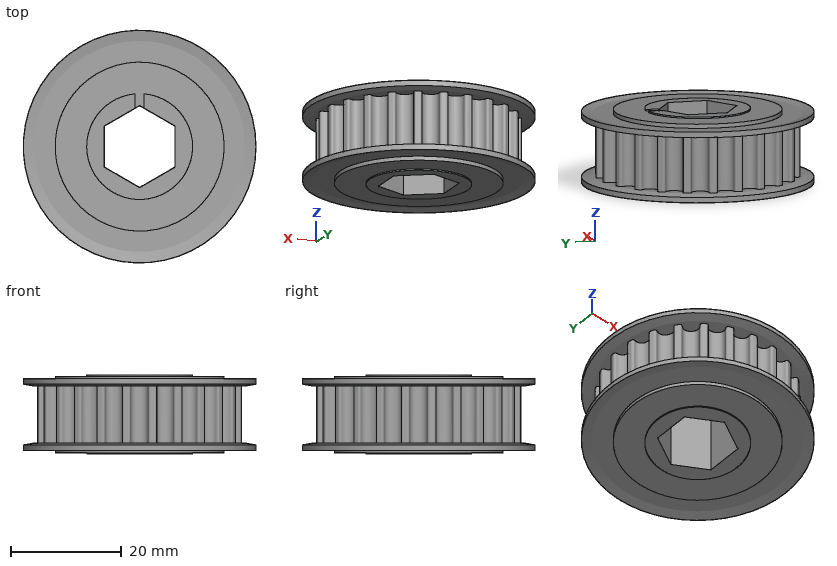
import cadquery as cq
import math

tooth_count = 24
tooth_tip_radius = 18.527
groove_depth = 2.06
root_half_width = 0.19
root_arc_radius = 1.4
flank_angle = math.radians(5)
tooth_edge_radius = 0.43
toothed_half_height = 5.14

hub_radius = 15.24
boss_radius = 9.55
overall_height = 14.29
boss_height = 0.254
hex_across_flats = 12.75
mark_width = 1.65

flange_radius = 21.0
flange_thickness = 1.0
bend_radius_inner_face = 19.1
bend_angle = math.radians(10)

boss_face_z = overall_height / 2
hub_face_z = boss_face_z - boss_height


def rotated(point, angle):
    x, y = point
    return (
        x * math.cos(angle) - y * math.sin(angle),
        x * math.sin(angle) + y * math.cos(angle),
    )


def groove_points():
    """Upper half of the groove on +X, from its flat root out to the tooth tip circle."""
    root_x = tooth_tip_radius - groove_depth
    root_end = (root_x, root_half_width)
    along_x, along_y = math.cos(flank_angle), math.sin(flank_angle)
    normal_x, normal_y = -along_y, along_x

    arc_center_x = root_x + root_arc_radius
    flank_start = (
        arc_center_x + root_arc_radius * normal_x,
        root_half_width + root_arc_radius * normal_y,
    )
    arc_mid_angle = (1.5 * math.pi + flank_angle) / 2
    arc_mid = (
        arc_center_x + root_arc_radius * math.cos(arc_mid_angle),
        root_half_width + root_arc_radius * math.sin(arc_mid_angle),
    )

    flank_distance = flank_start[0] * normal_x + flank_start[1] * normal_y
    edge_across = flank_distance + tooth_edge_radius
    edge_along = math.sqrt((tooth_tip_radius - tooth_edge_radius) ** 2 - edge_across**2)
    edge_center_x = edge_across * normal_x + edge_along * along_x
    edge_center_y = edge_across * normal_y + edge_along * along_y
    flank_end = (
        edge_center_x - tooth_edge_radius * normal_x,
        edge_center_y - tooth_edge_radius * normal_y,
    )
    tip_angle = math.atan2(edge_center_y, edge_center_x)
    tip = rotated((tooth_tip_radius, 0), tip_angle)
    edge_mid_angle = (tip_angle + flank_angle - math.pi / 2) / 2
    edge_mid = (
        edge_center_x + tooth_edge_radius * math.cos(edge_mid_angle),
        edge_center_y + tooth_edge_radius * math.sin(edge_mid_angle),
    )
    return root_end, arc_mid, flank_start, flank_end, edge_mid, tip


def tooth_outline():
    """Closed outline of all teeth, with a groove centred on +X."""
    root_end, arc_mid, flank_start, flank_end, edge_mid, tip = groove_points()
    pitch_angle = 2 * math.pi / tooth_count

    def mirrored(point):
        return (point[0], -point[1])

    outline = cq.Workplane("XY", origin=(0, 0, -toothed_half_height)).moveTo(*mirrored(tip))
    for index in range(tooth_count):
        angle = index * pitch_angle

        def place(point, turn=angle):
            return rotated(point, turn)

        land_mid = rotated((tooth_tip_radius, 0), angle + pitch_angle / 2)
        next_tip = rotated(mirrored(tip), angle + pitch_angle)
        outline = (
            outline.threePointArc(place(mirrored(edge_mid)), place(mirrored(flank_end)))
            .lineTo(*place(mirrored(flank_start)))
            .threePointArc(place(mirrored(arc_mid)), place(mirrored(root_end)))
            .lineTo(*place(root_end))
            .threePointArc(place(arc_mid), place(flank_start))
            .lineTo(*place(flank_end))
            .threePointArc(place(edge_mid), place(tip))
            .threePointArc(land_mid, next_tip)
        )
    return outline.close()


def centred_cylinder(radius, half_height):
    return cq.Workplane("XY").circle(radius).extrude(half_height, both=True)


def make_pulley():
    pulley = tooth_outline().extrude(2 * toothed_half_height)
    pulley = pulley.union(centred_cylinder(hub_radius, hub_face_z))
    pulley = pulley.union(centred_cylinder(boss_radius, boss_face_z))

    hex_across_corners = hex_across_flats / math.cos(math.pi / 6)
    bore = (
        cq.Workplane("XY")
        .transformed(rotate=(0, 0, 90))
        .polygon(6, hex_across_corners)
        .extrude(boss_face_z, both=True)
    )

    mark = (
        cq.Workplane("XY", origin=(0, 0, hub_face_z))
        .rect(mark_width, hub_radius, centered=(True, False))
        .extrude(boss_height)
    )
    return pulley.cut(bore).cut(mark)


def make_flange(side):
    """Bent-rim ring seated on the hub; side is +1 for the top, -1 for the bottom."""
    inner_face_z = toothed_half_height
    outer_face_z = inner_face_z + flange_thickness
    bend_radius_outer_face = bend_radius_inner_face - flange_thickness * math.tan(bend_angle / 2)
    slope = math.tan(bend_angle)
    rim_inner_z = inner_face_z + (flange_radius - bend_radius_inner_face) * slope
    rim_outer_z = outer_face_z + (flange_radius - bend_radius_outer_face) * slope
    section = [
        (hub_radius, inner_face_z),
        (bend_radius_inner_face, inner_face_z),
        (flange_radius, rim_inner_z),
        (flange_radius, rim_outer_z),
        (bend_radius_outer_face, outer_face_z),
        (hub_radius, outer_face_z),
    ]
    return (
        cq.Workplane("XZ")
        .polyline([(radius, side * z) for radius, z in section])
        .close()
        .revolve(360, (0, 0, 0), (0, 1, 0))
    )


pulley = make_pulley()
flanges = [make_flange(side) for side in (1, -1)]

result = cq.Compound.makeCompound([pulley.val(), *[flange.val() for flange in flanges]])